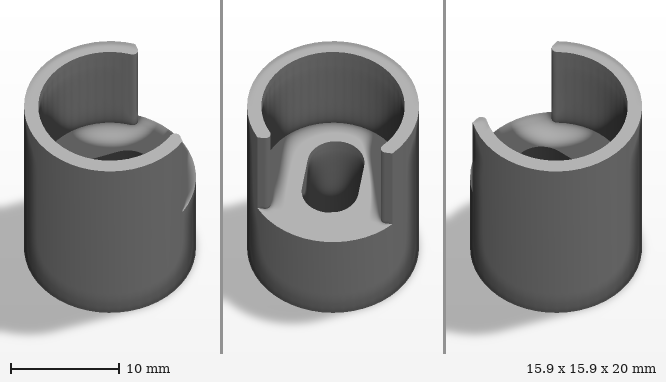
import cadquery as cq

height = 19.99
outer_diameter = 15.87

base_height = height / 2
wall_height = height - base_height
wall_thickness = 1.32
bore_diameter = outer_diameter - 2 * wall_thickness
opening_y = 4.82
lip_radius = 0.5

slot_length = 8.74
slot_width = 5.25


def make_base():
    base = cq.Workplane("XY").circle(outer_diameter / 2).extrude(base_height)
    slot = cq.Workplane("XY").slot2D(slot_length, slot_width, 90).extrude(base_height)
    return base.cut(slot)


def make_wall():
    ring = (
        cq.Workplane("XY", origin=(0, 0, base_height))
        .circle(outer_diameter / 2)
        .circle(bore_diameter / 2)
        .extrude(wall_height)
    )
    opening = (
        cq.Workplane("XY", origin=(0, opening_y, base_height))
        .rect(outer_diameter, outer_diameter)
        .extrude(wall_height)
        .translate((0, outer_diameter / 2, 0))
    )
    wall = ring.cut(opening)
    bore_x = (bore_diameter**2 / 4 - opening_y**2) ** 0.5
    inner_edges = cq.selectors.BoxSelector(
        (-bore_x - lip_radius, opening_y - lip_radius, base_height),
        (bore_x + lip_radius, opening_y + lip_radius, height),
    )
    return wall.edges("|Z").edges(inner_edges).fillet(lip_radius)


result = make_base().union(make_wall())